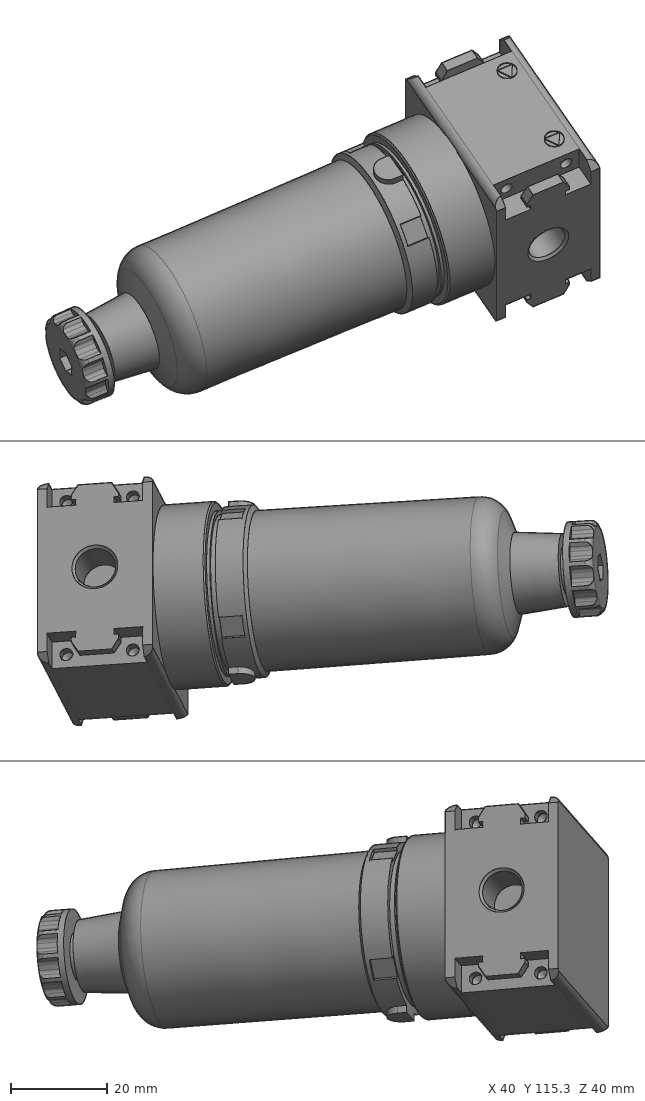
import cadquery as cq
import math


head_width = 40.0
head_length = 24.3
head_edge_width = 2.0
head_edge_drop = 1.4
corner_chamfer = 1.8
collar_diameter = 38.5
collar_end = 35.3
collar_chamfer = 0.3
lip_diameter = 34.6
lip_end = 36.0

port_diameter = 8.5
port_mouth_diameter = 9.7
port_depth = 10.0

plate_thickness = 2.1
pocket_depth_x = 5.2
pocket_floor_z = 14.1
tab_neck_length = 8.2
tab_neck_top_z = 15.3
tab_length = 10.0
tab_slope_start_z = 16.3
tab_top_z = 18.6
tab_top_length = 7.1
tab_base_thickness = 2.9
tab_top_thickness = 2.4

screw_hole_diameter = 2.7
screw_hole_spacing = 14.1
screw_hole_z = 17.1
screw_hole_depth = 2.3
drill_point_angle = 118

arrow_diameter = 4.2
arrow_depth = 0.2
arrow_centers_x = (-10.7, 9.9)
arrow_from_back = 5.3

neck_diameter = 32.9
ring_diameter = 36.0
ring_start = 37.2
ring_end = 43.8
ring_chamfer_length = 0.7
bowl_top_diameter = 33.5
bowl_bottom_diameter = 32.9
dome_start = 90.9
dome_radius = 5.8
dome_turn = 64
spout_start = 97.8
spout_top_diameter = 17.2
spout_end_diameter = 15.2
spout_end = 107.8

button_radius = 3.0
button_length = 5.0
button_height_z = 19.3
notch_count = 4
notch_width = 4.8
notch_floor_radius = 17.1

stem_diameter = 10.0
knob_diameter = 20.0
knob_start = 109.2
knob_end = 115.3
knob_edge_radius = 1.5
flange_thickness = 1.4
slot_count = 12
slot_floor_radius = 8.8
slot_floor_half_width = 0.6
slot_corner_radius = 1.2
slot_wall_angle = 50
hex_half_angle = 30
hex_across_flats = 5.2
hex_depth = 5.0

half_width = head_width / 2
mid_head_y = -head_length / 2


def revolve_about_axis(outline):
    """Turn a closed XY outline, with x as the radius, about the Y axis."""
    return outline.close().revolve(360, (0, 0, 0), (0, 1, 0))


def disc(diameter, start, end):
    """A round length of the common axis."""
    radius = diameter / 2
    return revolve_about_axis(
        cq.Workplane("XY").moveTo(0, -start).lineTo(radius, -start).lineTo(radius, -end).lineTo(0, -end)
    )


def mirrored_in_x_and_z(shape):
    """The four copies of a shape that are symmetric about the YZ and XY planes."""
    pair = shape.union(shape.mirror("YZ"))
    return pair.union(pair.mirror("XY"))


def head_block():
    """A square block whose long X edges are rounded by arcs that run smoothly into the top and bottom."""
    edge_radius = (head_edge_width**2 + head_edge_drop**2) / (2 * head_edge_drop)
    half_turn = math.asin(head_edge_width / edge_radius) / 2
    side_z = half_width - head_edge_drop
    arc_y = head_edge_width - edge_radius * math.sin(half_turn)
    arc_z = half_width - edge_radius * (1 - math.cos(half_turn))
    front = -head_length
    block = (
        cq.Workplane("YZ", origin=(-half_width, 0, 0))
        .moveTo(0, -side_z)
        .lineTo(0, side_z)
        .threePointArc((-arc_y, arc_z), (-head_edge_width, half_width))
        .lineTo(front + head_edge_width, half_width)
        .threePointArc((front + arc_y, arc_z), (front, side_z))
        .lineTo(front, -side_z)
        .threePointArc((front + arc_y, -arc_z), (front + head_edge_width, -half_width))
        .lineTo(-head_edge_width, -half_width)
        .threePointArc((-arc_y, -arc_z), (0, -side_z))
        .close()
        .extrude(head_width)
    )
    corner = (
        cq.Workplane("XZ")
        .moveTo(half_width, half_width)
        .lineTo(half_width - corner_chamfer, half_width)
        .lineTo(half_width, half_width - corner_chamfer)
        .close()
        .extrude(head_length)
    )
    return block.cut(mirrored_in_x_and_z(corner))


def corner_pockets():
    pocket_length = head_length - 2 * plate_thickness
    pocket_height = half_width - pocket_floor_z
    pocket = (
        cq.Workplane("XY")
        .box(pocket_depth_x, pocket_length, pocket_height)
        .translate((half_width - pocket_depth_x / 2, mid_head_y, half_width - pocket_height / 2))
    )
    return mirrored_in_x_and_z(pocket)


def coupling_tabs():
    """Hooked tabs that stand in the corner pockets; their inner faces lean outward."""
    half_outline = [
        (tab_neck_length / 2, pocket_floor_z),
        (tab_neck_length / 2, tab_neck_top_z),
        (tab_length / 2, tab_neck_top_z),
        (tab_length / 2, tab_slope_start_z),
        (tab_top_length / 2, tab_top_z),
    ]
    outline = half_outline + [(-y, z) for y, z in reversed(half_outline)]
    tab = (
        cq.Workplane("YZ", origin=(half_width - tab_base_thickness, mid_head_y, 0))
        .polyline(outline)
        .close()
        .extrude(tab_base_thickness)
    )
    lean = (
        cq.Workplane("XZ")
        .moveTo(half_width - tab_base_thickness, pocket_floor_z)
        .lineTo(half_width - tab_top_thickness, tab_top_z)
        .lineTo(half_width - tab_base_thickness, tab_top_z)
        .close()
        .extrude(head_length)
    )
    return mirrored_in_x_and_z(tab.cut(lean))


def screw_holes():
    """Drilled holes with conical ends in the walls at the back of the corner pockets."""
    radius = screw_hole_diameter / 2
    point_depth = radius / math.tan(math.radians(drill_point_angle / 2))
    pocket_wall_x = half_width - pocket_depth_x
    hole_bottom_x = pocket_wall_x - screw_hole_depth
    drill = (
        cq.Workplane("XY")
        .moveTo(pocket_wall_x, 0)
        .lineTo(pocket_wall_x, radius)
        .lineTo(hole_bottom_x, radius)
        .lineTo(hole_bottom_x - point_depth, 0)
        .close()
        .revolve(360, (0, 0, 0), (1, 0, 0))
    )
    half_spacing = screw_hole_spacing / 2
    front_hole = drill.translate((0, mid_head_y - half_spacing, screw_hole_z))
    back_hole = drill.translate((0, mid_head_y + half_spacing, screw_hole_z))
    return mirrored_in_x_and_z(front_hole.union(back_hole))


def ports():
    """Blind ports with 45 degree mouths, one in each X side."""
    radius = port_diameter / 2
    mouth_radius = port_mouth_diameter / 2
    mouth_depth = mouth_radius - radius
    port = (
        cq.Workplane("XY")
        .moveTo(half_width, 0)
        .lineTo(half_width, mouth_radius)
        .lineTo(half_width - mouth_depth, radius)
        .lineTo(half_width - port_depth, radius)
        .lineTo(half_width - port_depth, 0)
        .close()
        .revolve(360, (0, 0, 0), (1, 0, 0))
        .translate((0, mid_head_y, 0))
    )
    return port.union(port.mirror("YZ"))


def flow_arrows():
    """Shallow round recesses in the top, each around a raised triangle that points to +X."""
    centers = [(x, -arrow_from_back) for x in arrow_centers_x]
    floor = cq.Workplane("XY", origin=(0, 0, half_width - arrow_depth)).pushPoints(centers)
    return floor.circle(arrow_diameter / 2).extrude(arrow_depth).cut(
        floor.polygon(3, arrow_diameter).extrude(arrow_depth)
    )


def collar():
    radius = collar_diameter / 2
    rim = revolve_about_axis(
        cq.Workplane("XY")
        .moveTo(0, -head_length)
        .lineTo(radius, -head_length)
        .lineTo(radius, -(collar_end - collar_chamfer))
        .lineTo(radius - collar_chamfer, -collar_end)
        .lineTo(0, -collar_end)
    )
    return rim.union(disc(lip_diameter, collar_end, lip_end))


def make_head():
    head = head_block().cut(corner_pockets()).union(coupling_tabs()).union(collar())
    return head.cut(screw_holes()).cut(ports()).cut(flow_arrows())


def bowl_shell():
    """The bowl's turned shape, from its neck to the end of its spout."""
    bottom_radius = bowl_bottom_diameter / 2
    ring_radius = ring_diameter / 2

    def dome_point(turn):
        angle = math.radians(turn)
        radius = bottom_radius - dome_radius * (1 - math.cos(angle))
        return (radius, -dome_start - dome_radius * math.sin(angle))

    return revolve_about_axis(
        cq.Workplane("XY")
        .moveTo(0, -lip_end)
        .lineTo(neck_diameter / 2, -lip_end)
        .lineTo(neck_diameter / 2, -ring_start)
        .lineTo(ring_radius, -ring_start)
        .lineTo(ring_radius, -(ring_end - ring_chamfer_length))
        .lineTo(bowl_top_diameter / 2, -ring_end)
        .lineTo(bottom_radius, -dome_start)
        .threePointArc(dome_point(dome_turn / 2), dome_point(dome_turn))
        .lineTo(spout_top_diameter / 2, -spout_start)
        .lineTo(spout_end_diameter / 2, -spout_end)
        .lineTo(0, -spout_end)
    )


def release_buttons():
    """D-shaped buttons that stand on the top and bottom of the bowl ring."""
    straight_length = button_length - button_radius
    return (
        cq.Workplane("XY", origin=(0, -ring_start, -button_height_z))
        .moveTo(-button_radius, 0)
        .lineTo(-button_radius, -straight_length)
        .threePointArc((0, -button_length), (button_radius, -straight_length))
        .lineTo(button_radius, 0)
        .close()
        .extrude(2 * button_height_z)
    )


def ring_notches():
    """Flat-floored notches in the bowl ring, halfway between its top, bottom and sides."""
    depth = ring_diameter / 2 - notch_floor_radius
    notch = (
        cq.Workplane("XY")
        .box(notch_width, button_length, depth)
        .translate((0, -ring_start - button_length / 2, notch_floor_radius + depth / 2))
    )
    notches = cq.Workplane("XY")
    for index in range(notch_count):
        notches = notches.add(notch.rotate((0, 0, 0), (0, 1, 0), (index + 0.5) * 360 / notch_count))
    return notches.combine()


def knob_slot():
    """A grip slot at +Z, with a flat floor, rounded corners and sloping walls."""
    angle = math.radians(slot_wall_angle)
    corner_x = slot_floor_half_width + slot_corner_radius * math.sin(angle)
    corner_z = slot_floor_radius + slot_corner_radius * (1 - math.cos(angle))
    middle_x = slot_floor_half_width + slot_corner_radius * math.sin(angle / 2)
    middle_z = slot_floor_radius + slot_corner_radius * (1 - math.cos(angle / 2))
    mouth_z = knob_diameter / 2
    mouth_x = corner_x + (mouth_z - corner_z) * math.tan(angle)
    return (
        cq.Workplane("XZ", origin=(0, -(knob_start + flange_thickness), 0))
        .moveTo(-slot_floor_half_width, slot_floor_radius)
        .lineTo(slot_floor_half_width, slot_floor_radius)
        .threePointArc((middle_x, middle_z), (corner_x, corner_z))
        .lineTo(mouth_x, mouth_z)
        .lineTo(-mouth_x, mouth_z)
        .lineTo(-corner_x, corner_z)
        .threePointArc((-middle_x, middle_z), (-slot_floor_half_width, slot_floor_radius))
        .close()
        .extrude(knob_end - knob_start - flange_thickness)
    )


def drain_knob():
    knob = disc(knob_diameter, knob_start, knob_end).faces("<Y").edges().fillet(knob_edge_radius)
    slot = knob_slot()
    for index in range(slot_count):
        knob = knob.cut(slot.rotate((0, 0, 0), (0, 1, 0), index * 360 / slot_count))
    hex_across_corners = hex_across_flats / math.cos(math.radians(hex_half_angle))
    socket = (
        cq.Workplane("XZ", origin=(0, -(knob_end - hex_depth), 0))
        .transformed(rotate=(0, 0, hex_half_angle))
        .polygon(6, hex_across_corners)
        .extrude(hex_depth)
    )
    return knob.cut(socket).union(disc(stem_diameter, spout_end, knob_start))


def make_bowl():
    return bowl_shell().cut(ring_notches()).union(release_buttons()).union(drain_knob())


head = make_head()
bowl = make_bowl()

result = cq.Compound.makeCompound([head.val(), bowl.val()])